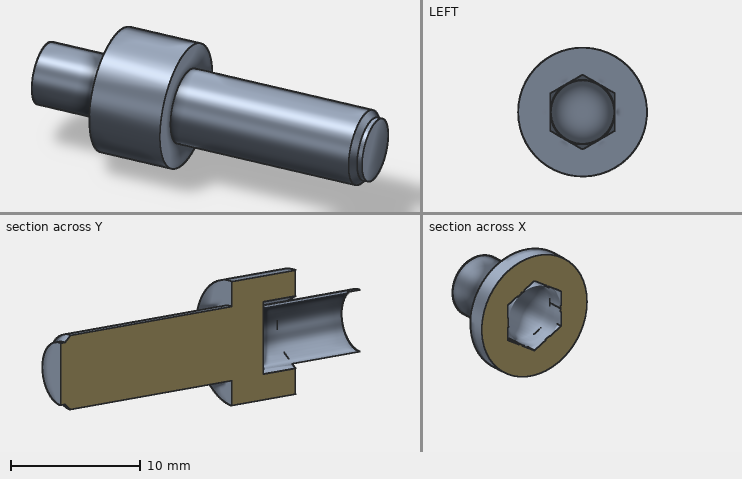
import cadquery as cq

total_length = 28.0
head_diameter = 10.0
head_length = 6.0
sleeve_projection = 6.0
shank_diameter = 6.0
tip_diameter = 5.0
tip_chamfer_length = 0.5
tip_land_length = 0.42
socket_across_flats = 5.0
socket_depth = 3.0
sleeve_wall = 0.05

head_start = -total_length / 2 + sleeve_projection
head_end = head_start + head_length
shank_end = total_length / 2
socket_floor = head_start + socket_depth
hexagon_corner_diameter = socket_across_flats / (3 ** 0.5 / 2)


def make_screw_body():
    """Head and shank, with a cone and a short land at the tip, turned about X."""
    head_radius = head_diameter / 2
    shank_radius = shank_diameter / 2
    tip_radius = tip_diameter / 2
    land_start = shank_end - tip_land_length
    cone_start = land_start - tip_chamfer_length
    profile = [
        (head_start, 0),
        (head_start, head_radius),
        (head_end, head_radius),
        (head_end, shank_radius),
        (cone_start, shank_radius),
        (land_start, tip_radius),
        (shank_end, tip_radius),
        (shank_end, 0),
    ]
    return cq.Workplane("XY").polyline(profile).close().revolve(360, (0, 0, 0), (1, 0, 0))


def make_socket():
    """Hexagonal recess with corners pointing up and down."""
    return (
        cq.Workplane("YZ", origin=(head_start, 0, 0))
        .transformed(rotate=(0, 0, 90))
        .polygon(6, hexagon_corner_diameter)
        .extrude(socket_depth)
    )


def make_sleeve():
    """Thin open tube rising from the socket floor, as wide as the hexagon flats."""
    sleeve_length = socket_floor + total_length / 2
    return (
        cq.Workplane("YZ", origin=(-total_length / 2, 0, 0))
        .circle(socket_across_flats / 2)
        .circle(socket_across_flats / 2 - sleeve_wall)
        .extrude(sleeve_length)
    )


result = make_screw_body().cut(make_socket()).union(make_sleeve())